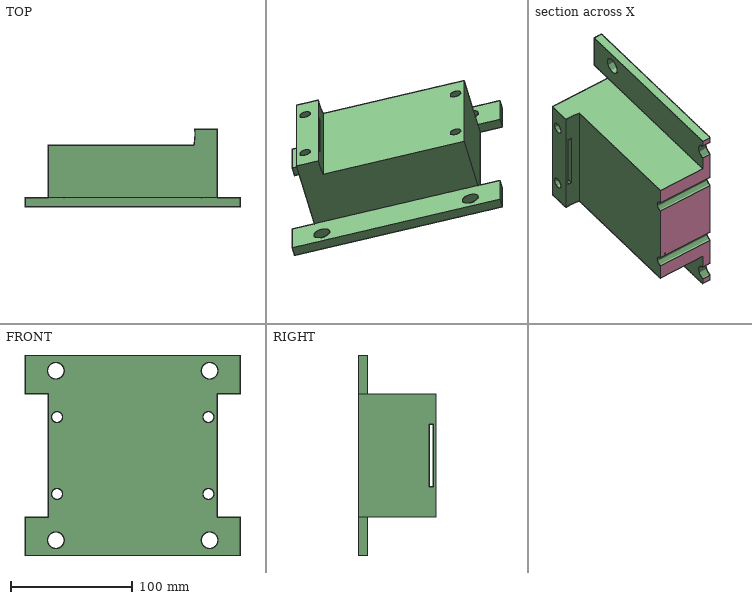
import cadquery as cq
import math

plate_width = 177.8
plate_height = 165.2
plate_thickness = 7.6

body_width = 140.0
body_height = 101.9
body_depth = 51.0
lip_width = 18.7
total_depth = 64.4

hollow_radius = 53.3
hollow_rim_distance = 4.5

slot_length = 51.2
slot_width = 3.2
slot_rim_distance = 4.1

mount_diameter = 13.5
mount_spacing = (127.0, 140.0)
body_hole_diameter = 8.9
body_hole_spacing = (125.0, 63.5)


def centred_block(width, depth, height):
    """Block centred on X and Z, running from Y = 0 to the given depth."""
    return cq.Workplane("XY").box(width, depth, height, centered=(True, False, True))


def hole_pattern(diameter, spacing):
    """Four cylinders running along Y through the full depth of the part."""
    return (
        cq.Workplane("XZ")
        .rarray(spacing[0], spacing[1], 2, 2)
        .circle(diameter / 2)
        .extrude(-total_depth)
    )


def make_plate():
    """I-shaped plate: tabs above and below, notched at the sides to the body width."""
    plate = centred_block(plate_width, plate_thickness, plate_height)
    notch_band = centred_block(plate_width, plate_thickness, body_height)
    return plate.cut(notch_band)


def hollow_x(deepest_x, offset_y):
    """X of the hollowed lip face at a Y offset from its deepest point."""
    return deepest_x - hollow_radius + math.sqrt(hollow_radius**2 - offset_y**2)


def make_body():
    """Body and lip as one extruded L-shaped profile."""
    right = body_width / 2
    lip_inner = right - lip_width
    hollow_y = total_depth - hollow_rim_distance
    rim_x = hollow_x(lip_inner, total_depth - hollow_y)
    foot_x = hollow_x(lip_inner, body_depth - hollow_y)
    return (
        cq.Workplane("XY")
        .workplane(offset=-body_height / 2)
        .moveTo(-right, 0)
        .lineTo(right, 0)
        .lineTo(right, total_depth)
        .lineTo(rim_x, total_depth)
        .threePointArc((lip_inner, hollow_y), (foot_x, body_depth))
        .lineTo(-right, body_depth)
        .close()
        .extrude(body_height)
    )


def make_slot():
    """Rectangular cutter spanning the lip in X."""
    slot_y = total_depth - slot_rim_distance
    cutter = cq.Workplane("XY").box(body_width, slot_width, slot_length)
    return cutter.translate((body_width / 2, slot_y, 0))


result = (
    make_plate()
    .union(make_body())
    .cut(hole_pattern(mount_diameter, mount_spacing))
    .cut(hole_pattern(body_hole_diameter, body_hole_spacing))
    .cut(make_slot())
)